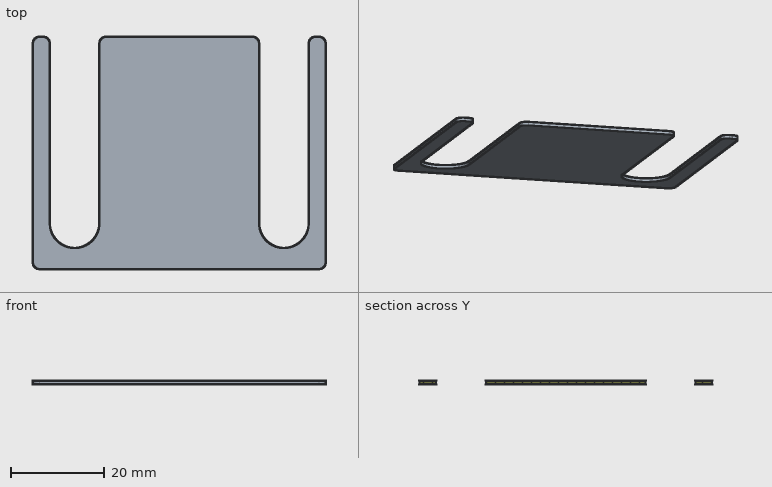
import cadquery as cq

PLATE_WIDTH = 63.0
PLATE_LENGTH = 50.0
PLATE_THICKNESS = 0.81
CORNER_RADIUS = 1.5

SLOT_WIDTH = 10.6
SLOT_SPACING = 45.0
SLOT_FLOOR_WIDTH = 4.6

SLOT_RADIUS = SLOT_WIDTH / 2
SLOT_END_Y = -PLATE_LENGTH / 2 + SLOT_FLOOR_WIDTH + SLOT_RADIUS
OPEN_EDGE_Y = PLATE_LENGTH / 2


def make_plate():
    """Rectangular plate centred on the origin in all three axes."""
    return cq.Workplane("XY").box(PLATE_WIDTH, PLATE_LENGTH, PLATE_THICKNESS)


def make_slot(center_x):
    """Through cutter with a semicircular end, running out of the +Y edge."""
    left_x = center_x - SLOT_RADIUS
    right_x = center_x + SLOT_RADIUS
    return (
        cq.Workplane("XY")
        .moveTo(left_x, OPEN_EDGE_Y)
        .lineTo(left_x, SLOT_END_Y)
        .threePointArc((center_x, SLOT_END_Y - SLOT_RADIUS), (right_x, SLOT_END_Y))
        .lineTo(right_x, OPEN_EDGE_Y)
        .close()
        .extrude(PLATE_THICKNESS, both=True)
    )


def round_corners(plate):
    """Round the upright edges at the outer corners and the slot mouths."""
    open_side_corners = plate.faces(">Y").edges("|Z")
    closed_side_corners = plate.faces("<Y").edges("|Z")
    return plate.newObject(open_side_corners.vals() + closed_side_corners.vals()).fillet(CORNER_RADIUS)


plate = make_plate()
for side in (-1, 1):
    plate = plate.cut(make_slot(side * SLOT_SPACING / 2))
result = round_corners(plate)